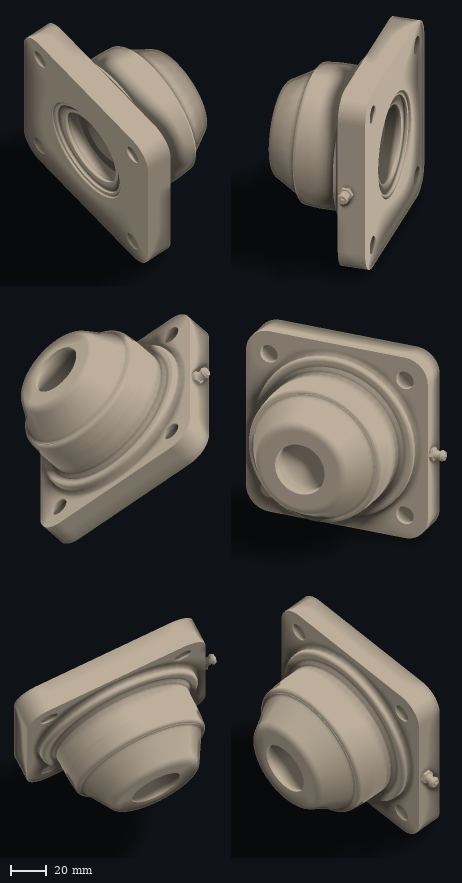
import cadquery as cq
import math


plate_size = 111.0
plate_thickness = 16.0
corner_radius = 14.0
bolt_spacing = 83.0
bolt_hole_diameter = 10.5

collar_radius = 48.6
collar_end_y = 21.5
collar_rounding = 1.8
collar_root_fillet = 2.5
barrel_root_radius = 41.3
barrel_radius = 41.0
barrel_root_chamfer = 2.2
barrel_step_start_y = 25.0
barrel_step_end_y = 26.6
barrel_end_y = 37.1

housing_bore_radius = 30.7
mouth_chamfer = 0.4

seal_edge_chamfer = 0.4
seal_rim_radius = 28.3
seal_opening_radius = 22.5
seal_rim_y = 1.3
seal_face_y = 3.2
seal_lip_y = 4.1
seal_back_y = 5.4
seal_opening_bevel = 0.4

shaft_hole_radius = 15.0
shaft_hole_relief = 0.1
counterbore_radius = seal_opening_radius
counterbore_bevel_end_y = 6.4
counterbore_floor_y = 12.6
shaft_hole_bevel_end_y = 13.9
relief_start_y = 15.7

cover_radius = 40.8
cover_taper_start_y = 40.3
cover_taper_end_y = 45.1
cover_ledge_y = 47.6
cover_ledge_drop = 0.2
cover_ledge_rounding = cover_ledge_y - cover_ledge_drop - cover_taper_end_y
cover_taper_radius = 40.3
cover_end_y = 65.8
cone_foot_radius = 37.1
cone_half_angle = math.radians(30)
cone_root_fillet = 1.5
cone_top_fillet = 5.0

nipple_y = 10.9
nipple_z = -3.0
hex_across_flats = 7.3
stem_length = 0.2
stem_radius = 3.1
hex_end = 2.3
hex_face_radius = 3.4
hex_bevel_angle = math.radians(30)
neck_root_radius = 2.9
neck_radius = 2.3
head_start = 5.6
neck_curve_radius = 8.4
head_widest = 6.6
head_face = 8.3
nipple_length = 9.0
head_back_radius = 2.9
head_max_radius = 3.2
head_face_radius = 2.5
tip_radius = 1.2


def profile_from(y, radius):
    """Start a profile of (y, radius) points in the plane of the shaft axis."""
    return cq.Workplane("YZ").moveTo(y, radius)


def revolve_profile(profile):
    """Close a half profile and turn it around the first axis of its workplane."""
    return profile.close().revolve(360, (0, 0, 0), (1, 0, 0))


def make_plate():
    return (
        cq.Workplane("XZ")
        .rect(plate_size, plate_size)
        .extrude(-plate_thickness)
        .edges("|Y")
        .fillet(corner_radius)
    )


def make_bolt_holes():
    return (
        cq.Workplane("XZ")
        .rect(bolt_spacing, bolt_spacing, forConstruction=True)
        .vertices()
        .circle(bolt_hole_diameter / 2)
        .extrude(-plate_thickness)
    )


def make_collar_and_barrel():
    foot_radius = collar_radius + collar_root_fillet
    return revolve_profile(
        profile_from(0, 0)
        .lineTo(0, foot_radius)
        .lineTo(plate_thickness, foot_radius)
        .radiusArc((plate_thickness + collar_root_fillet, collar_radius), -collar_root_fillet)
        .lineTo(collar_end_y - collar_rounding, collar_radius)
        .radiusArc((collar_end_y, collar_radius - collar_rounding), collar_rounding)
        .lineTo(collar_end_y, barrel_root_radius + barrel_root_chamfer)
        .lineTo(collar_end_y + barrel_root_chamfer, barrel_root_radius)
        .lineTo(barrel_step_start_y, barrel_root_radius)
        .lineTo(barrel_step_end_y, barrel_radius)
        .lineTo(barrel_end_y, barrel_radius)
        .lineTo(barrel_end_y, 0)
    )


def make_housing_bore():
    return revolve_profile(
        profile_from(0, 0)
        .lineTo(0, housing_bore_radius + mouth_chamfer)
        .lineTo(mouth_chamfer, housing_bore_radius)
        .lineTo(barrel_end_y, housing_bore_radius)
        .lineTo(barrel_end_y, 0)
    )


def make_housing():
    body = make_plate().union(make_collar_and_barrel())
    return body.cut(make_bolt_holes()).cut(make_housing_bore())


def make_seal():
    return revolve_profile(
        profile_from(seal_back_y, housing_bore_radius)
        .lineTo(seal_rim_y + seal_edge_chamfer, housing_bore_radius)
        .lineTo(seal_rim_y, housing_bore_radius - seal_edge_chamfer)
        .lineTo(seal_rim_y, seal_rim_radius)
        .lineTo(seal_face_y, seal_rim_radius)
        .lineTo(seal_face_y, seal_opening_radius)
        .lineTo(seal_lip_y, seal_opening_radius)
        .lineTo(seal_back_y, seal_opening_radius + seal_opening_bevel)
    )


def make_insert():
    relief_radius = shaft_hole_radius + shaft_hole_relief
    return revolve_profile(
        profile_from(seal_back_y, housing_bore_radius)
        .lineTo(seal_back_y, seal_opening_radius + seal_opening_bevel)
        .lineTo(counterbore_bevel_end_y, counterbore_radius)
        .lineTo(counterbore_floor_y, counterbore_radius)
        .lineTo(counterbore_floor_y, relief_radius)
        .lineTo(shaft_hole_bevel_end_y, shaft_hole_radius)
        .lineTo(relief_start_y, shaft_hole_radius)
        .lineTo(relief_start_y, relief_radius)
        .lineTo(barrel_end_y, relief_radius)
        .lineTo(barrel_end_y, housing_bore_radius)
    )


def cone_radius_at(y):
    return cone_foot_radius - (y - cover_ledge_y) * math.tan(cone_half_angle)


def make_cover():
    turn = math.pi / 2 - cone_half_angle
    root_tangent = cone_root_fillet * math.tan(turn / 2)
    top_tangent = cone_top_fillet * math.tan(turn / 2)
    cone_start_y = cover_ledge_y + root_tangent * math.cos(cone_half_angle)
    cone_stop_y = cover_end_y - top_tangent * math.cos(cone_half_angle)
    ledge_edge_y = cover_ledge_y - cover_ledge_drop
    hole_radius = shaft_hole_radius + shaft_hole_relief
    return revolve_profile(
        profile_from(barrel_end_y, hole_radius)
        .lineTo(barrel_end_y, barrel_radius)
        .lineTo(cover_taper_start_y, cover_radius)
        .lineTo(cover_taper_end_y, cover_taper_radius)
        .radiusArc((ledge_edge_y, cover_taper_radius - cover_ledge_rounding), cover_ledge_rounding)
        .lineTo(cover_ledge_y, cone_foot_radius + root_tangent)
        .radiusArc((cone_start_y, cone_radius_at(cone_start_y)), -cone_root_fillet)
        .lineTo(cone_stop_y, cone_radius_at(cone_stop_y))
        .radiusArc((cover_end_y, cone_radius_at(cover_end_y) - top_tangent), cone_top_fillet)
        .lineTo(cover_end_y, hole_radius)
    )


def make_nipple_hex():
    """Hexagon with corners towards +Y and -Y, its outer corners bevelled by a cone."""
    corner_diameter = hex_across_flats / math.cos(math.pi / 6)
    bevel_length = (corner_diameter / 2 - hex_face_radius) * math.tan(hex_bevel_angle)
    prism = (
        cq.Workplane("YZ", origin=(-stem_length, 0, 0))
        .polygon(6, corner_diameter)
        .extrude(stem_length - hex_end)
    )
    bevel = revolve_profile(
        cq.Workplane("XY")
        .lineTo(0, corner_diameter / 2)
        .lineTo(bevel_length - hex_end, corner_diameter / 2)
        .lineTo(-hex_end, hex_face_radius)
        .lineTo(-hex_end, 0)
    )
    return prism.intersect(bevel)


def make_nipple_stem():
    return cq.Workplane("YZ").circle(stem_radius).extrude(-stem_length)


def make_nipple_head():
    tip_height = nipple_length - head_face
    tip_sphere_radius = (tip_radius ** 2 + tip_height ** 2) / (2 * tip_height)
    return revolve_profile(
        cq.Workplane("XY")
        .moveTo(-hex_end, 0)
        .lineTo(-hex_end, neck_root_radius)
        .radiusArc((-head_start, neck_radius), neck_curve_radius)
        .lineTo(-head_start, head_back_radius)
        .lineTo(-head_widest, head_max_radius)
        .lineTo(-head_face, head_face_radius)
        .lineTo(-head_face, tip_radius)
        .radiusArc((-nipple_length, 0), -tip_sphere_radius)
    )


def make_nipple():
    nipple = make_nipple_stem().union(make_nipple_hex()).union(make_nipple_head())
    return nipple.translate((-plate_size / 2, nipple_y, nipple_z))


housing = make_housing()
seal = make_seal()
insert = make_insert()
cover = make_cover()
nipple = make_nipple()

result = cq.Compound.makeCompound(
    [housing.val(), seal.val(), insert.val(), cover.val(), nipple.val()]
)